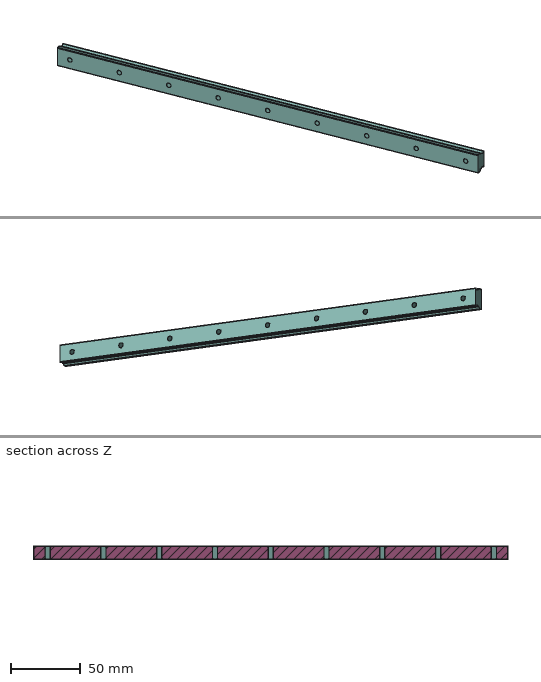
import cadquery as cq

length = 340.0
height = 9.5
width = 15.0

base_flat_depth = 3.2
shoulder_foot = 4.2
groove_lower_edge = 5.4
groove_upper_edge = 8.4

head_width = 13.0
neck_width = 12.7
groove_bottom_width = 11.0

edge_chamfer = 0.5

hole_count = 9
hole_pitch = 40.0
hole_diameter = 3.5


def rail_body():
    """Extrude the section: base, sloped shoulders, a round ball groove per side, head."""
    base = -height / 2
    top = height / 2
    half_base = width / 2
    half_head = head_width / 2
    half_neck = neck_width / 2
    groove_low = base + groove_lower_edge
    groove_high = base + groove_upper_edge
    groove_middle = (groove_low + groove_high) / 2
    half_section = (
        cq.Workplane("YZ", origin=(-length / 2, 0, 0))
        .moveTo(base, 0)
        .lineTo(base, half_base - edge_chamfer)
        .lineTo(base + edge_chamfer, half_base)
        .lineTo(base + base_flat_depth, half_base)
        .lineTo(base + shoulder_foot, half_neck)
        .lineTo(groove_low, half_neck)
        .threePointArc((groove_middle, groove_bottom_width / 2), (groove_high, half_head))
        .lineTo(top - edge_chamfer, half_head)
        .lineTo(top, half_head - edge_chamfer)
        .lineTo(top, 0)
    )
    return half_section.mirrorX().extrude(length)


def mounting_holes():
    """Row of cylinders through the full height of the rail, centred on its length."""
    return (
        cq.Workplane("XZ", origin=(0, height / 2, 0))
        .rarray(hole_pitch, 1, hole_count, 1)
        .circle(hole_diameter / 2)
        .extrude(height)
    )


result = rail_body().cut(mounting_holes())